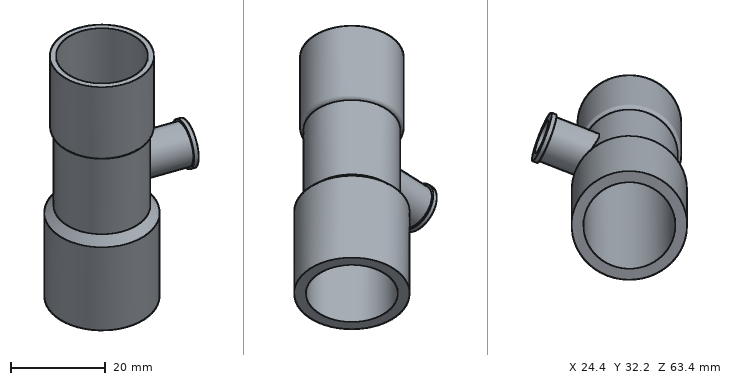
import cadquery as cq
import math

height = 63.4
bore_diameter = 19.4
base_diameter = 24.4
waist_diameter = 20.5
top_diameter = 22.0
base_height = 22.0
top_collar_height = 18.45
collar_edge_radius = 1.0

overall_depth = 32.2
port_diameter = 10.0
port_bore_diameter = 7.4
flange_diameter = 11.0
flange_thickness = 1.1
port_height = 34.05

base_radius = base_diameter / 2
waist_radius = waist_diameter / 2
top_radius = top_diameter / 2
shoulder_top = base_height + base_radius - waist_radius
collar_start = height - top_collar_height

round_center_radius = top_radius - collar_edge_radius
waist_angle = math.acos((waist_radius - round_center_radius) / collar_edge_radius)
collar_bottom = collar_start - collar_edge_radius * math.sin(waist_angle)
round_middle = (
    round_center_radius + collar_edge_radius * math.cos(waist_angle / 2),
    collar_start - collar_edge_radius * math.sin(waist_angle / 2),
)
port_end = overall_depth - base_radius


def tube_body():
    """Solid of revolution with the stepped outer outline of the tube."""
    outline = (
        cq.Workplane("XZ")
        .lineTo(base_radius, 0)
        .lineTo(base_radius, base_height)
        .lineTo(waist_radius, shoulder_top)
        .lineTo(waist_radius, collar_bottom)
        .threePointArc(round_middle, (top_radius, collar_start))
        .lineTo(top_radius, height)
        .lineTo(0, height)
        .close()
    )
    return outline.revolve(360, (0, 0, 0), (0, 1, 0))


def port_cylinder(diameter, start, end):
    """Cylinder on the port axis between two Y positions."""
    plane = cq.Plane(origin=(0, start, port_height), xDir=(1, 0, 0), normal=(0, 1, 0))
    return cq.Workplane(plane).circle(diameter / 2).extrude(end - start)


port = port_cylinder(port_diameter, 0, port_end)
flange = port_cylinder(flange_diameter, port_end - flange_thickness, port_end)
port_bore = port_cylinder(port_bore_diameter, 0, port_end)
main_bore = cq.Workplane("XY").circle(bore_diameter / 2).extrude(height)

result = tube_body().union(port).union(flange).cut(main_bore).cut(port_bore)